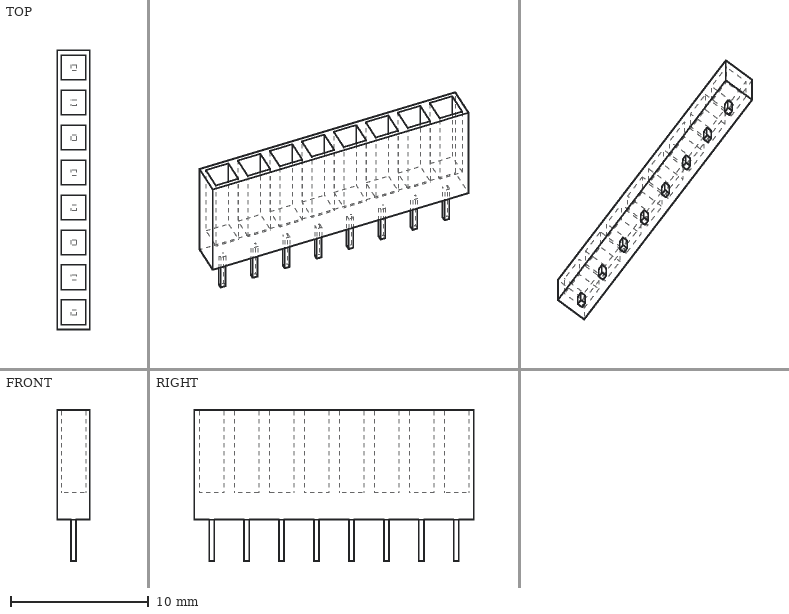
import cadquery as cq

position_count = 8
row_length = 20.32
pitch = row_length / position_count

total_height = 11.0
pin_length = 3.0
body_height = total_height - pin_length
body_width = 2.4

side_wall = 0.3
socket_side = body_width - 2 * side_wall
socket_depth = 6.0
pin_side = 0.39

first_center = (pitch - row_length) / 2
position_centers = [(0, first_center + i * pitch) for i in range(position_count)]


def make_body():
    return cq.Workplane("XY").box(body_width, row_length, body_height, centered=(True, True, False))


def make_sockets():
    return (
        cq.Workplane("XY", origin=(0, 0, body_height))
        .pushPoints(position_centers)
        .rect(socket_side, socket_side)
        .extrude(-socket_depth)
    )


def make_pins():
    return (
        cq.Workplane("XY")
        .pushPoints(position_centers)
        .rect(pin_side, pin_side)
        .extrude(-pin_length)
    )


result = make_body().cut(make_sockets()).union(make_pins())